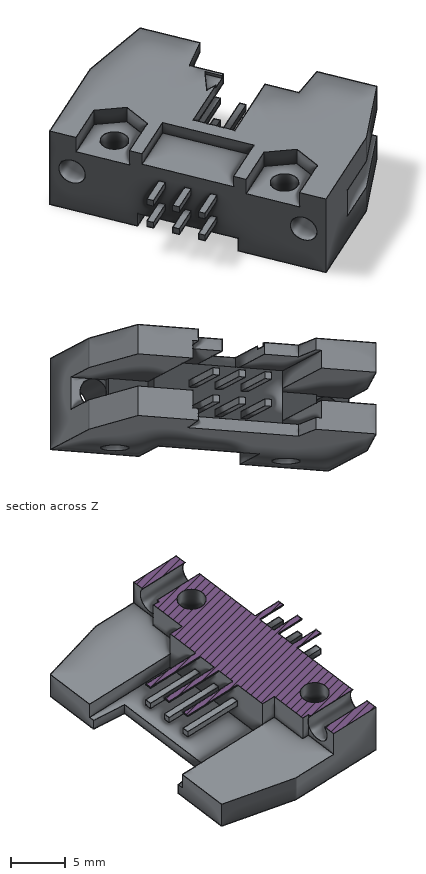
import cadquery as cq
import math

body_width = 27.2
body_height = 8.5
body_depth = 17.3
shoulder_y = 9.9
tip_width = 23.3
mid_z = body_height / 2

notch_mouth = 11.5
notch_floor_width = 10.8
notch_depth = 3.5
notch_floor_y = body_depth - notch_depth

wall = 1.1
cavity_width = 12.6
cavity_floor_y = 7.4
key_width = 4.1
key_end_y = 6.4

latch_height = 3.0
latch_end_y = 5.25
latch_step_y = 5.95
latch_inner_x = 10.17

hole_diameter = 2.6
end_hole_x = 11.4
end_hole_z = 4.45
nut_x = 8.37
nut_y = 2.85
nut_across_flats = 5.26
nut_pocket_depth = 1.65

top_recess_width = 9.0
top_recess_depth = 1.2
bottom_recess_width = 9.9
bottom_recess_depth = 1.45
recess_length = 5.0

pitch = 2.54
pin_columns = 3
pin_size = 0.65
pin_front_y = -2.9
pin_back_y = 13.5

marker_width = 2.4
marker_length = 2.5
marker_depth = 0.3
marker_base_y = 13.5


def box(x_range, y_range, z_range):
    """Box spanning the given (low, high) limits along each axis."""
    spans = [high - low for low, high in (x_range, y_range, z_range)]
    origin = (x_range[0], y_range[0], z_range[0])
    return cq.Workplane("XY").box(*spans, centered=False).translate(origin)


def centred(width, middle=0.0):
    """Limits of a span of the given width about its middle."""
    return (middle - width / 2, middle + width / 2)


def housing():
    half_outline = [
        (0, 0),
        (body_width / 2, 0),
        (body_width / 2, shoulder_y),
        (tip_width / 2, body_depth),
        (notch_mouth / 2, body_depth),
        (notch_floor_width / 2, notch_floor_y),
        (0, notch_floor_y),
    ]
    half = cq.Workplane("XY").polyline(half_outline).close().extrude(body_height)
    return half.union(half.mirror("YZ")).clean()


def mating_cavity():
    cavity = box(centred(cavity_width), (cavity_floor_y, body_depth), (wall, body_height - wall))
    key_slot = box(centred(key_width), (key_end_y, body_depth), (body_height - wall, body_height))
    return cavity.union(key_slot)


def latch_slot(side):
    """Stepped slot from the cavity out through one side (side is -1 or 1)."""
    height_range = centred(latch_height, mid_z)
    shallow = sorted((side * cavity_width / 2, side * body_width / 2))
    deep = sorted((side * latch_inner_x, side * body_width / 2))
    slot = box(shallow, (latch_step_y, body_depth), height_range)
    return slot.union(box(deep, (latch_end_y, body_depth), height_range))


def end_hole(side):
    """Hole along Y from the mounting face into the latch slot."""
    hole = cq.Workplane("XZ").center(side * end_hole_x, end_hole_z).circle(hole_diameter / 2)
    return hole.extrude(-latch_end_y)


def nut_mount(side):
    """Vertical hole with a hexagon-ended nut pocket open to the mounting face."""
    half_flats = nut_across_flats / 2
    apex_y = nut_y + half_flats / math.cos(math.radians(30))
    corner_y = nut_y + half_flats * math.tan(math.radians(30))
    pocket_outline = [
        (-half_flats, 0),
        (half_flats, 0),
        (half_flats, corner_y),
        (0, apex_y),
        (-half_flats, corner_y),
    ]
    pocket_floor = cq.Workplane("XY").workplane(offset=body_height - nut_pocket_depth)
    pocket = pocket_floor.polyline(pocket_outline).close().extrude(nut_pocket_depth)
    hole = cq.Workplane("XY").center(0, nut_y).circle(hole_diameter / 2).extrude(body_height)
    return pocket.union(hole).translate((side * nut_x, 0, 0))


def face_recesses():
    length_range = (0, recess_length)
    top = box(centred(top_recess_width), length_range, (body_height - top_recess_depth, body_height))
    bottom = box(centred(bottom_recess_width), length_range, (0, bottom_recess_depth))
    return top.union(bottom)


def pin_one_marker():
    outline = [
        (-pitch - marker_width / 2, marker_base_y),
        (-pitch + marker_width / 2, marker_base_y),
        (-pitch, marker_base_y - marker_length),
    ]
    floor = cq.Workplane("XY").workplane(offset=body_height - marker_depth)
    return floor.polyline(outline).close().extrude(marker_depth)


def pin(column, row_side):
    x = (column - (pin_columns - 1) / 2) * pitch
    z = mid_z + row_side * pitch / 2
    return box(centred(pin_size, x), (pin_front_y, pin_back_y), centred(pin_size, z))


result = housing().cut(mating_cavity()).cut(face_recesses()).cut(pin_one_marker())

for side in (-1, 1):
    result = result.cut(latch_slot(side)).cut(end_hole(side)).cut(nut_mount(side))

for column in range(pin_columns):
    for row_side in (-1, 1):
        result = result.union(pin(column, row_side))